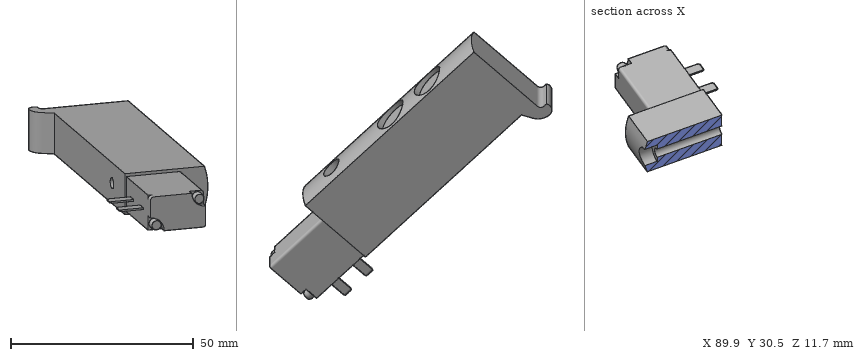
import cadquery as cq
import math


BODY_LENGTH = 66.5
BODY_WIDTH = 24.0
BODY_THICKNESS = 11.7
CROWN_HEIGHT = 1.0

HOOK_REACH = 2.5
HOOK_DEPTH = 5.5
HOOK_LEDGE_Y = -2.5
HOOK_NOSE_RADIUS = 2.0
HOOK_BACK_RADIUS = 4.5
HOOK_FLANK_ANGLE = 63.5
HOOK_INNER_FILLET = 1.25

RECESS_DIAMETER = 10.0
RECESS_DEPTH = 2.0
RECESS_CENTRES_X = (17.5, 32.0)
SCREW_X = 55.2
SCREW_HOLE_DIAMETER = 3.0
SCREW_HEAD_DIAMETER = 6.0
SCREW_HEAD_DEPTH = 4.0

CONNECTOR_LENGTH = 20.9
CONNECTOR_WIDTH = 16.0
CONNECTOR_THICKNESS = 10.0
CONNECTOR_BOTTOM_Y = 0.4
EDGE_FILLET = 0.8

CORNER_LENGTH = 2.0
GROOVE_DIAMETER = 8.0
CORNER_ROUND = 1.1
PEG_DIAMETER = 3.0
PEG_INSET = 1.8
PEG_TAPER_LENGTH = 0.7
PEG_TAPER_DEPTH = 0.2

PIN_WIDTH = 2.8
PIN_THICKNESS = 0.5
PIN_TIP_Y = -6.45
PIN_CENTRES_X = (71.5, 79.9)
PIN_TIP_CHAMFER_LENGTH = 0.5
PIN_TIP_CHAMFER_SIDE = 0.2
PIN_TIP_CHAMFER_FACE = 0.12

CONNECTOR_END_X = BODY_LENGTH + CONNECTOR_LENGTH
CONNECTOR_TOP_Y = CONNECTOR_BOTTOM_Y + CONNECTOR_WIDTH
CONNECTOR_HALF = CONNECTOR_THICKNESS / 2


def make_crowned_bar():
    """Rectangular bar whose +Y face is a shallow arc across the thickness."""
    half = BODY_THICKNESS / 2
    shoulder_y = BODY_WIDTH - CROWN_HEIGHT
    return (
        cq.Workplane("YZ")
        .moveTo(0, -half)
        .lineTo(shoulder_y, -half)
        .threePointArc((BODY_WIDTH, 0), (shoulder_y, half))
        .lineTo(0, half)
        .close()
        .extrude(BODY_LENGTH)
    )


def arc_point(centre_x, centre_y, radius, degrees):
    """Point on a circle at the given angle from the +X direction."""
    angle = math.radians(degrees)
    return centre_x + radius * math.cos(angle), centre_y + radius * math.sin(angle)


def make_hook():
    """Hook with a small nose arc running into a larger back arc and a straight tangent flank."""
    nose_x = HOOK_NOSE_RADIUS - HOOK_REACH
    nose_y = HOOK_NOSE_RADIUS - HOOK_DEPTH
    back_y = HOOK_BACK_RADIUS - HOOK_DEPTH
    bottom = (nose_x, -HOOK_DEPTH)

    ledge_rise = HOOK_LEDGE_Y - nose_y
    ledge_tip = (nose_x - math.sqrt(HOOK_NOSE_RADIUS**2 - ledge_rise**2), HOOK_LEDGE_Y)
    nose_mid = (-HOOK_REACH, nose_y)

    flank_normal = HOOK_FLANK_ANGLE - 90
    back_mid = arc_point(nose_x, back_y, HOOK_BACK_RADIUS, (flank_normal - 90) / 2)
    back_end = arc_point(nose_x, back_y, HOOK_BACK_RADIUS, flank_normal)
    root_x = back_end[0] - back_end[1] / math.tan(math.radians(HOOK_FLANK_ANGLE))

    fillet_y = HOOK_LEDGE_Y + HOOK_INNER_FILLET
    fillet_mid = arc_point(-HOOK_INNER_FILLET, fillet_y, HOOK_INNER_FILLET, -45)
    return (
        cq.Workplane("XY")
        .workplane(offset=-BODY_THICKNESS / 2)
        .moveTo(0, 0)
        .lineTo(0, fillet_y)
        .threePointArc(fillet_mid, (-HOOK_INNER_FILLET, HOOK_LEDGE_Y))
        .lineTo(*ledge_tip)
        .threePointArc(nose_mid, bottom)
        .threePointArc(back_mid, back_end)
        .lineTo(root_x, 0)
        .close()
        .extrude(BODY_THICKNESS)
    )


def make_bore(x, diameter, depth):
    """Cylinder along Y reaching the given depth below the crest of the crowned face."""
    return cq.Workplane("XZ", origin=(x, BODY_WIDTH, 0)).circle(diameter / 2).extrude(depth)


def make_body():
    body = make_crowned_bar().union(make_hook())
    for x in RECESS_CENTRES_X:
        body = body.cut(make_bore(x, RECESS_DIAMETER, RECESS_DEPTH))
    body = body.cut(make_bore(SCREW_X, SCREW_HEAD_DIAMETER, SCREW_HEAD_DEPTH))
    return body.cut(make_bore(SCREW_X, SCREW_HOLE_DIAMETER, BODY_WIDTH))


def make_corner_rod(y, z, diameter):
    """Cylinder along X at (y, z) covering the shaped corner length."""
    return (
        cq.Workplane("YZ", origin=(CONNECTOR_END_X - CORNER_LENGTH, y, z))
        .circle(diameter / 2)
        .extrude(CORNER_LENGTH)
    )


def make_peg(y, z):
    """Peg along X with a tapered free end."""
    peg = make_corner_rod(y, z, PEG_DIAMETER)
    return peg.faces(">X").chamfer(PEG_TAPER_LENGTH, PEG_TAPER_DEPTH)


def make_corner_round():
    """Sliver that rounds the -Y, +Z connector edge over the corner length."""
    centre_y = CONNECTOR_BOTTOM_Y + CORNER_ROUND
    centre_z = CONNECTOR_HALF - CORNER_ROUND
    square = (
        cq.Workplane("XY")
        .box(CORNER_LENGTH, CORNER_ROUND, CORNER_ROUND, centered=False)
        .translate((CONNECTOR_END_X - CORNER_LENGTH, CONNECTOR_BOTTOM_Y, centre_z))
    )
    return square.cut(make_corner_rod(centre_y, centre_z, 2 * CORNER_ROUND))


def make_connector():
    connector = (
        cq.Workplane("XY")
        .box(CONNECTOR_LENGTH, CONNECTOR_WIDTH, CONNECTOR_THICKNESS, centered=(False, False, True))
        .translate((BODY_LENGTH, CONNECTOR_BOTTOM_Y, 0))
        .edges("|X and >Y")
        .fillet(EDGE_FILLET)
    )
    connector = connector.cut(make_corner_round())
    for y, z, inward in (
        (CONNECTOR_TOP_Y, CONNECTOR_HALF, -PEG_INSET),
        (CONNECTOR_BOTTOM_Y, -CONNECTOR_HALF, PEG_INSET),
    ):
        connector = connector.cut(make_corner_rod(y, z, GROOVE_DIAMETER))
        connector = connector.union(make_peg(y + inward, z + inward))
    return connector


def make_pin(x):
    """Flat pin pointing in -Y with a slightly tapered tip."""
    shank_end_y = PIN_TIP_Y + PIN_TIP_CHAMFER_LENGTH
    shank_length = CONNECTOR_BOTTOM_Y - shank_end_y
    shank = cq.Workplane("XZ", origin=(x, CONNECTOR_BOTTOM_Y, 0)).rect(PIN_WIDTH, PIN_THICKNESS)
    shank = shank.extrude(shank_length)
    tip = (
        cq.Workplane("XZ", origin=(x, shank_end_y, 0))
        .rect(PIN_WIDTH, PIN_THICKNESS)
        .workplane(offset=PIN_TIP_CHAMFER_LENGTH)
        .rect(PIN_WIDTH - 2 * PIN_TIP_CHAMFER_SIDE, PIN_THICKNESS - 2 * PIN_TIP_CHAMFER_FACE)
        .loft()
    )
    return shank.union(tip)


result = make_body().union(make_connector())
for pin_x in PIN_CENTRES_X:
    result = result.union(make_pin(pin_x))